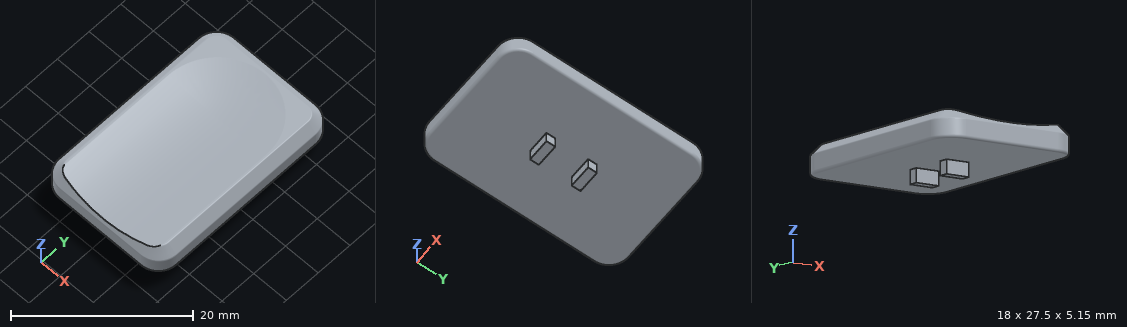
import cadquery as cq

WIDTH = 18.0
LENGTH = 27.5
TOTAL_HEIGHT = 5.15
BODY_HEIGHT = 3.5
CORNER_RADIUS = 2.75
TOP_CHAMFER = 1.25
CHAMFER_EDGE_RADIUS = 0.25
BOTTOM_EDGE_RADIUS = 0.35

DISH_RADIUS = 7.45
DISH_DEPTH = 0.88
DISH_CENTER_Y = 4.73
DISH_RIM_RADIUS = 0.25

FOOT_WIDTH = 3.0
FOOT_LENGTH = 1.2
FOOT_SPACING = 5.75
FOOT_HEIGHT = TOTAL_HEIGHT - BODY_HEIGHT


def make_body():
    """Rounded block standing on Z = 0, with its top edge bevelled and all rims softened."""
    block = cq.Workplane("XY").rect(WIDTH, LENGTH).extrude(BODY_HEIGHT)
    block = block.edges("|Z").fillet(CORNER_RADIUS)
    block = block.faces(">Z").edges().chamfer(TOP_CHAMFER)
    block = block.faces("<Z").edges().fillet(BOTTOM_EDGE_RADIUS)
    shoulder_z = BODY_HEIGHT - TOP_CHAMFER
    margin = 0.03
    shoulder = cq.selectors.BoxSelector(
        (-WIDTH, -LENGTH, shoulder_z - margin),
        (WIDTH, LENGTH, shoulder_z + margin),
        boundingbox=True,
    )
    block = block.edges(shoulder).fillet(CHAMFER_EDGE_RADIUS)
    return block.faces(">Z").edges().fillet(CHAMFER_EDGE_RADIUS)


def make_dish():
    """Material removed by the dish: a straight circular trough ending in a bowl of the same profile."""
    arc_radius = (DISH_RADIUS**2 + DISH_DEPTH**2) / (2 * DISH_DEPTH)
    arc_center_z = BODY_HEIGHT - DISH_DEPTH + arc_radius
    trough_length = DISH_CENTER_Y + LENGTH / 2
    trough = (
        cq.Workplane("XZ", origin=(0, DISH_CENTER_Y, arc_center_z))
        .circle(arc_radius)
        .extrude(trough_length)
    )
    bowl = (
        cq.Workplane("XZ", origin=(0, DISH_CENTER_Y, arc_center_z))
        .moveTo(0, -arc_radius)
        .radiusArc((arc_radius, 0), -arc_radius)
        .lineTo(0, 0)
        .close()
        .revolve(360, (0, 0), (0, 1))
    )
    return trough.union(bowl)


def make_feet():
    return (
        cq.Workplane("XY")
        .pushPoints([(0, -FOOT_SPACING / 2), (0, FOOT_SPACING / 2)])
        .rect(FOOT_WIDTH, FOOT_LENGTH)
        .extrude(-FOOT_HEIGHT)
    )


def make_dished_plate():
    """Square-edged plate holding the dish, its rim rounded where it meets the flat top."""
    plate = cq.Workplane("XY").rect(WIDTH, LENGTH).extrude(BODY_HEIGHT)
    plate = plate.cut(make_dish())
    margin = 0.03
    rim = cq.selectors.BoxSelector(
        (-DISH_RADIUS - margin, -LENGTH / 2 - margin, BODY_HEIGHT - margin),
        (DISH_RADIUS + margin, DISH_CENTER_Y + DISH_RADIUS + margin, BODY_HEIGHT + margin),
        boundingbox=True,
    )
    return plate.edges(rim).fillet(DISH_RIM_RADIUS)


result = make_body().intersect(make_dished_plate()).union(make_feet())